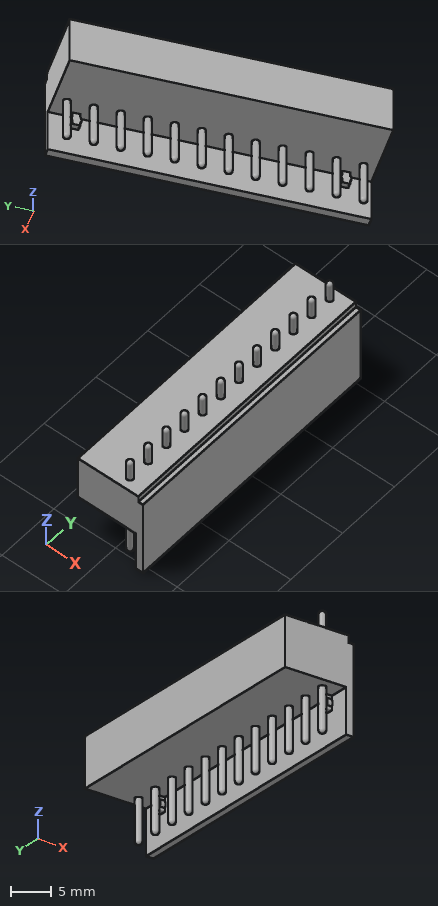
import cadquery as cq

length = 42.0
depth = 10.6
height = 17.15

block_bottom = 6.6
block_top = 13.9
wall_thickness = 1.18
ledge_width = 0.75
ledge_drop = 1.0

pin_count = 12
pin_pitch = length / pin_count
pin_radius = 0.5
pin_x = 7.0
pin_bottom = 0.15

peg_projection = 0.8
peg_length = 2.0
peg_half_width = 0.5
barb_half_width = 0.7
barb_start = 0.5
barb_peak = 1.1
barb_end = 1.5
barb_peak_radius = 0.5
peg_corner_radius = 0.13
peg_y_offset = length / 2 - pin_pitch

wall_face_x = depth - wall_thickness


def make_housing():
    """Stepped block and rear wall, one profile extruded along the pin row."""
    profile = [
        (0, block_bottom),
        (0, block_top),
        (depth - ledge_width, block_top),
        (depth - ledge_width, block_top - ledge_drop),
        (depth, block_top - ledge_drop),
        (depth, 0),
        (wall_face_x, 0),
        (wall_face_x, block_bottom),
    ]
    return cq.Workplane("XZ").polyline(profile).close().extrude(length / 2, both=True)


def make_pin(y):
    """Round pin through the block, with a hemisphere at each end."""
    straight_length = height - pin_bottom - 2 * pin_radius
    shaft_start = (pin_x, y, pin_bottom + pin_radius)
    shaft = cq.Workplane("XY", origin=shaft_start).circle(pin_radius).extrude(straight_length)
    lower_end = cq.Workplane("XY", origin=shaft_start).sphere(pin_radius)
    upper_end = lower_end.translate((0, 0, straight_length))
    return shaft.union(lower_end).union(upper_end)


def make_peg(y):
    """Peg hanging below the block, with a rounded barb on both sides."""
    right_side = [
        (peg_half_width, 0),
        (peg_half_width, -barb_start),
        (barb_half_width, -barb_peak),
        (peg_half_width, -barb_end),
        (peg_half_width, -peg_length),
    ]
    left_side = [(-across, up) for across, up in reversed(right_side)]
    peg = (
        cq.Workplane("YZ", origin=(wall_face_x - peg_projection, y, block_bottom))
        .polyline(right_side + left_side)
        .close()
        .extrude(peg_projection)
    )
    peg = peg.edges("<Y or >Y").fillet(barb_peak_radius)
    return peg.faces("<Z").edges("|X").fillet(peg_corner_radius)


result = make_housing()

for index in range(pin_count):
    pin_y = (index + 0.5) * pin_pitch - length / 2
    result = result.union(make_pin(pin_y))

for side in (-1, 1):
    result = result.union(make_peg(side * peg_y_offset))